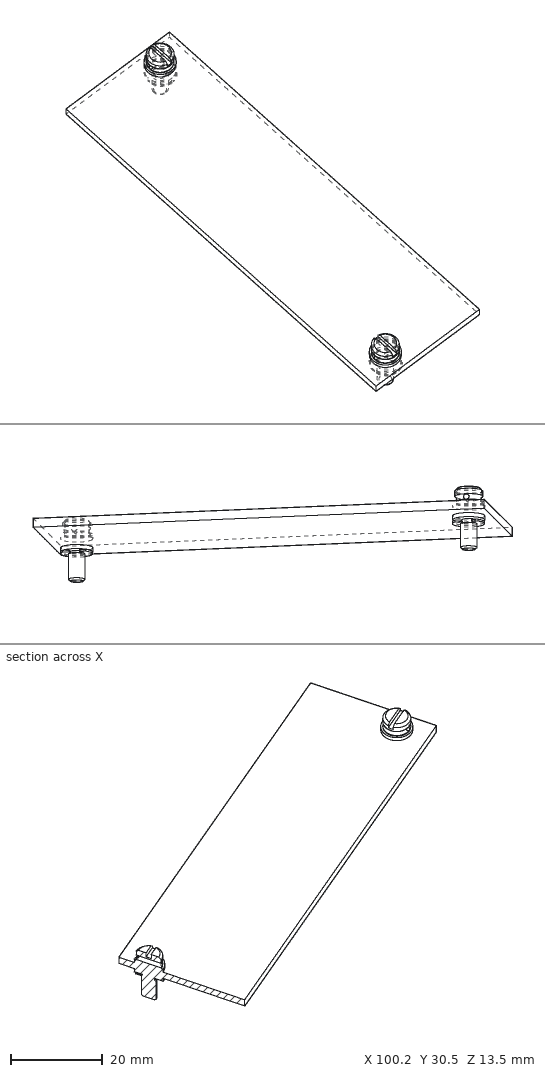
import cadquery as cq

PLATE_LENGTH = 100.2
PLATE_WIDTH = 30.5
PLATE_THICKNESS = 2.0

SCREW_END_DISTANCE = 4.9
SCREW_SIDE_DISTANCE = 7.2

BUSHING_RADIUS = 3.5
BUSHING_RISE = 0.9

SCREW_LENGTH = 13.5
HEAD_RISE = 4.1
HEAD_DIAMETER = 6.1
HEAD_HEIGHT = 1.8
HEAD_TOP_CHAMFER = 0.6
COLLAR_HEIGHT = 0.2
NECK_RADIUS = 2.7
SLOT_WIDTH = 1.2
SLOT_DEPTH = 1.2
CROSS_HOLE_DIAMETER = 1.2
SHANK_RADIUS = 1.8
SHANK_CHAMFER = 0.4

GROOVE_RADIUS = 1.5
CLIP_RADIUS = 3.5
CLIP_OFFSET = 0.3
CLIP_THICKNESS = 0.4
CLIP_FLAT_DISTANCE = 2.7
CLIP_MOUTH_WIDTH = 2.4
LEFT_CLIP_GAP = 0.5
RIGHT_CLIP_GAP = 0.1

HEAD_RADIUS = HEAD_DIAMETER / 2

HEAD_TOP = PLATE_THICKNESS + HEAD_RISE
HEAD_UNDERSIDE = HEAD_TOP - HEAD_HEIGHT
BUSHING_TOP = PLATE_THICKNESS + BUSHING_RISE
COLLAR_TOP = BUSHING_TOP + COLLAR_HEIGHT
NECK_MIDDLE = (HEAD_UNDERSIDE + COLLAR_TOP) / 2
SHANK_END = HEAD_TOP - SCREW_LENGTH


def disc(radius, bottom, top):
    return cq.Workplane("XY").workplane(offset=bottom).circle(radius).extrude(top - bottom)


def screw_blank():
    """Revolved head, concave neck, collar and shank, before slot and cross hole."""
    return (
        cq.Workplane("XZ")
        .moveTo(0, HEAD_TOP)
        .lineTo(HEAD_RADIUS - HEAD_TOP_CHAMFER, HEAD_TOP)
        .lineTo(HEAD_RADIUS, HEAD_TOP - HEAD_TOP_CHAMFER)
        .lineTo(HEAD_RADIUS, HEAD_UNDERSIDE)
        .threePointArc((NECK_RADIUS, NECK_MIDDLE), (HEAD_RADIUS, COLLAR_TOP))
        .lineTo(HEAD_RADIUS, BUSHING_TOP)
        .lineTo(SHANK_RADIUS, BUSHING_TOP)
        .lineTo(SHANK_RADIUS, SHANK_END + SHANK_CHAMFER)
        .lineTo(SHANK_RADIUS - SHANK_CHAMFER, SHANK_END)
        .lineTo(0, SHANK_END)
        .close()
        .revolve(360, (0, 0, 0), (0, 1, 0))
    )


def head_slot():
    return (
        cq.Workplane("XY")
        .workplane(offset=HEAD_TOP - SLOT_DEPTH)
        .rect(HEAD_DIAMETER, SLOT_WIDTH)
        .extrude(SLOT_DEPTH)
    )


def cross_hole():
    """Hole through the neck along Y."""
    return (
        cq.Workplane("XZ")
        .center(0, NECK_MIDDLE)
        .circle(CROSS_HOLE_DIAMETER / 2)
        .extrude(HEAD_RADIUS, both=True)
    )


def clip_cutter(width, start_y, bottom):
    """Block as thick as the clip, reaching from start_y past its +Y side."""
    return (
        cq.Workplane("XY")
        .workplane(offset=bottom)
        .center(0, start_y + CLIP_RADIUS)
        .rect(width, 2 * CLIP_RADIUS)
        .extrude(CLIP_THICKNESS)
    )


def clip(top):
    """Snap ring set off toward +Y, with a flat there and a mouth for the shank groove."""
    bottom = top - CLIP_THICKNESS
    beyond_flat = clip_cutter(2 * CLIP_RADIUS, CLIP_FLAT_DISTANCE, bottom)
    mouth = clip_cutter(CLIP_MOUTH_WIDTH, 0, bottom)
    ring = disc(CLIP_RADIUS, bottom, top).translate((0, CLIP_OFFSET, 0))
    return ring.cut(beyond_flat).cut(mouth)


def captive_screw(clip_gap):
    """Screw, bushing and clip on the Z axis; clip_gap separates clip and bushing."""
    clip_top = -BUSHING_RISE - clip_gap
    clip_bottom = clip_top - CLIP_THICKNESS
    groove_ring = disc(SHANK_RADIUS, clip_bottom, -BUSHING_RISE).cut(
        disc(GROOVE_RADIUS, clip_bottom, -BUSHING_RISE)
    )
    return (
        screw_blank()
        .cut(head_slot())
        .cut(cross_hole())
        .cut(groove_ring)
        .union(clip(clip_top))
        .union(disc(BUSHING_RADIUS, -BUSHING_RISE, BUSHING_TOP))
    )


screw_x = PLATE_LENGTH / 2 - SCREW_END_DISTANCE
screw_y = PLATE_WIDTH / 2 - SCREW_SIDE_DISTANCE

result = (
    cq.Workplane("XY")
    .box(PLATE_LENGTH, PLATE_WIDTH, PLATE_THICKNESS, centered=(True, True, False))
    .union(captive_screw(LEFT_CLIP_GAP).translate((-screw_x, screw_y, 0)))
    .union(captive_screw(RIGHT_CLIP_GAP).translate((screw_x, -screw_y, 0)))
)